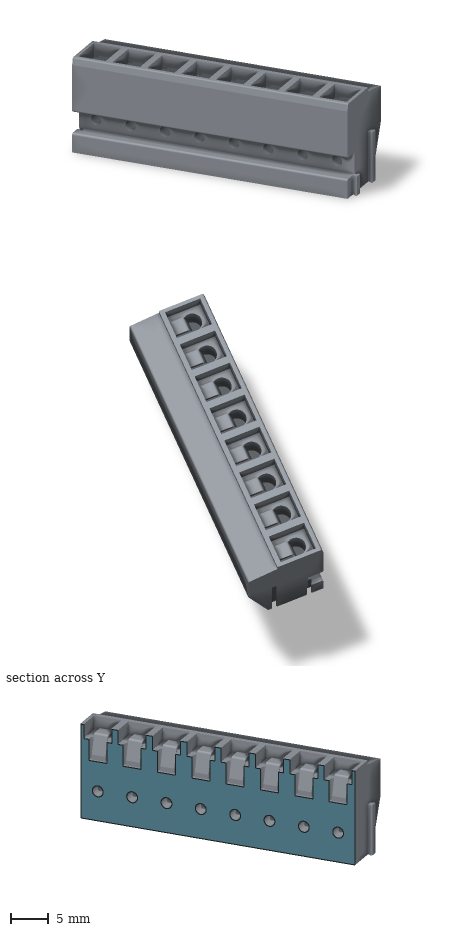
import cadquery as cq
import math

POLE_COUNT = 8
PITCH = 5.0
LENGTH = POLE_COUNT * PITCH
DEPTH = 10.8
HEIGHT = 13.5

EDGE_RADIUS = 0.3
BROW_RADIUS = 0.22
BASE_BACK_Y = 7.95
BACK_SLOPE_TOP_Z = 7.1
BACK_TOP_Z = 12.25
ROOF_STEP_Y = 6.6
ROOF_STEP_Z = 12.9
BROW_TOP_Y = 0.25
BROW_BOTTOM_Z = 12.5
SLOT_TOP_Z = 5.75
SLOT_DEPTH = 2.2
FOOT_HEIGHT = 2.75

WIRE_HOLE_DIAMETER = 1.5
WIRE_HOLE_Z = 4.25

POCKET_WIDTH = 4.0
POCKET_FRONT_Y = 0.85
POCKET_BACK_Y = 5.93
POCKET_FLOOR_Z = HEIGHT - 2.0
SCREW_HOLE_DIAMETER = 2.6
SCREW_HOLE_Y = 2.85
SCREW_HOLE_FLOOR_Z = POCKET_FLOOR_Z - 3.0

TONGUE_WIDTH = 2.0
TONGUE_TOP_Z = POCKET_FLOOR_Z + 0.5
TONGUE_BACK_BEND_Y = 5.5
TONGUE_FRONT_BEND_Y = 4.0
TONGUE_BACK_BEND_RADIUS = 0.5
TONGUE_FRONT_BEND_RADIUS = 0.35
TONGUE_SLOPE_ANGLE = math.radians(74)
TONGUE_TIP_Y = 2.93

RIB_HALF_OUTLINE = [(0.0, 0.43), (0.12, 0.30), (0.55, 0.57), (0.70, 0.48)]
GROOVE_HALF_OUTLINE = [(0.0, 0.43), (0.12, 0.30), (0.60, 0.60), (0.85, 0.55)]
DOVETAILS = [
    (2.0, FOOT_HEIGHT),
    (7.03, 7.2),
]


def housing():
    outline = [
        (0, 0),
        (BASE_BACK_Y, 0),
        (DEPTH, BACK_SLOPE_TOP_Z),
        (DEPTH, BACK_TOP_Z),
        (ROOF_STEP_Y, ROOF_STEP_Z),
        (ROOF_STEP_Y, HEIGHT),
        (BROW_TOP_Y, HEIGHT),
        (0, BROW_BOTTOM_Z),
        (0, SLOT_TOP_Z),
        (SLOT_DEPTH, SLOT_TOP_Z),
        (SLOT_DEPTH, FOOT_HEIGHT),
        (0, FOOT_HEIGHT),
    ]
    rounded_corners = [
        (DEPTH, BACK_TOP_Z, EDGE_RADIUS),
        (BROW_TOP_Y, HEIGHT, BROW_RADIUS),
        (0, BROW_BOTTOM_Z, EDGE_RADIUS),
        (0, SLOT_TOP_Z, EDGE_RADIUS),
        (0, FOOT_HEIGHT, EDGE_RADIUS),
    ]
    block = cq.Workplane("YZ").polyline(outline).close().extrude(LENGTH)
    for y, z, radius in rounded_corners:
        corner_edge = cq.selectors.NearestToPointSelector((LENGTH / 2, y, z))
        block = block.edges(corner_edge).fillet(radius)
    return block


def dovetail(face_x, centre_y, half_outline, height):
    """Prism standing on the base plane and reaching in +X from an end face."""
    near_side = [(face_x + x, centre_y - half) for x, half in half_outline]
    far_side = [(face_x + x, centre_y + half) for x, half in reversed(half_outline)]
    return cq.Workplane("XY").polyline(near_side + far_side).close().extrude(height)


def wire_hole(x):
    return (
        cq.Workplane("XZ", origin=(x, 0, WIRE_HOLE_Z))
        .circle(WIRE_HOLE_DIAMETER / 2)
        .extrude(-DEPTH)
    )


def screw_pocket(x):
    recess_length = POCKET_BACK_Y - POCKET_FRONT_Y
    recess = (
        cq.Workplane("XY", origin=(x, POCKET_FRONT_Y + recess_length / 2, POCKET_FLOOR_Z))
        .rect(POCKET_WIDTH, recess_length)
        .extrude(HEIGHT - POCKET_FLOOR_Z)
    )
    screw_hole = (
        cq.Workplane("XY", origin=(x, SCREW_HOLE_Y, SCREW_HOLE_FLOOR_Z))
        .circle(SCREW_HOLE_DIAMETER / 2)
        .extrude(POCKET_FLOOR_Z - SCREW_HOLE_FLOOR_Z)
    )
    return recess.union(screw_hole)


def front_bend_point(angle):
    """Point where the front bend has turned down by the given angle."""
    y = TONGUE_FRONT_BEND_Y - TONGUE_FRONT_BEND_RADIUS * math.sin(angle)
    z = TONGUE_TOP_Z - TONGUE_FRONT_BEND_RADIUS * (1 - math.cos(angle))
    return y, z


def back_bend_point(angle):
    """Point where the back bend has turned down by the given angle."""
    y = TONGUE_BACK_BEND_Y + TONGUE_BACK_BEND_RADIUS * math.sin(angle)
    z = TONGUE_TOP_Z - TONGUE_BACK_BEND_RADIUS * (1 - math.cos(angle))
    return y, z


def tongue(x):
    slope_y, slope_z = front_bend_point(TONGUE_SLOPE_ANGLE)
    tip_z = slope_z - (slope_y - TONGUE_TIP_Y) * math.tan(TONGUE_SLOPE_ANGLE)
    wall_angle = math.asin((POCKET_BACK_Y - TONGUE_BACK_BEND_Y) / TONGUE_BACK_BEND_RADIUS)
    profile = (
        cq.Workplane("YZ", origin=(x - TONGUE_WIDTH / 2, 0, 0))
        .moveTo(TONGUE_TIP_Y, SCREW_HOLE_FLOOR_Z)
        .lineTo(TONGUE_TIP_Y, tip_z)
        .lineTo(slope_y, slope_z)
        .threePointArc(front_bend_point(TONGUE_SLOPE_ANGLE / 2), (TONGUE_FRONT_BEND_Y, TONGUE_TOP_Z))
        .lineTo(TONGUE_BACK_BEND_Y, TONGUE_TOP_Z)
        .threePointArc(back_bend_point(wall_angle / 2), back_bend_point(wall_angle))
        .lineTo(POCKET_BACK_Y, SCREW_HOLE_FLOOR_Z)
        .close()
    )
    return profile.extrude(TONGUE_WIDTH)


result = housing()

for centre_y, height in DOVETAILS:
    result = result.cut(dovetail(0, centre_y, GROOVE_HALF_OUTLINE, height))
    result = result.union(dovetail(LENGTH, centre_y, RIB_HALF_OUTLINE, height))

for pole in range(POLE_COUNT):
    pole_x = (pole + 0.5) * PITCH
    result = result.cut(wire_hole(pole_x))
    result = result.cut(screw_pocket(pole_x))
    result = result.union(tongue(pole_x))